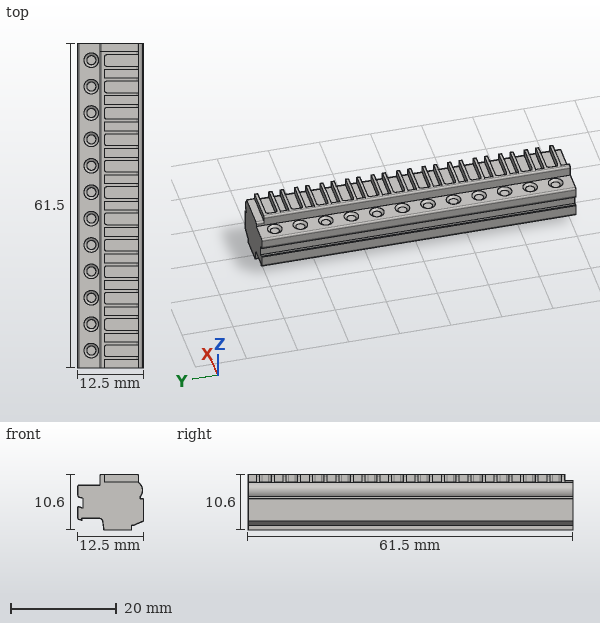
import cadquery as cq
import math

length = 61.5
width = 12.5
height = 10.6

shelf_z = 8.55
pocket_floor_z = 9.1
shelf_bottom_z = 2.2
ridge_left_x = 4.2
ridge_right_x = 11.55
edge_round = 0.35
step_right_round = 0.2

groove_depth = 1.0
groove_top_z = 6.15
groove_top_inner_z = 6.0
groove_bottom_z = 4.5
groove_bottom_inner_z = 4.2
groove_round = 0.55
lip_round = 0.4
lip_chamfer = 0.1
lip_width = 0.8
lip_bottom_z = 1.95
lip_tip_z = 1.85

foot_left_x = 4.9
foot_right_x = 10.2
foot_shoulder_z = 0.9
foot_edge_round = 0.25
foot_draft = 0.2
foot_round = 0.6
ramp_start_x = 10.65
ramp_end_z = 1.7

catch_z = 5.95
catch_x = 11.9
catch_round = 0.2
bulge_bottom_z = 6.4
bulge_side_x = 12.3
bulge_side_z = 7.55
bulge_top_z = 9.0

station_count = 12
station_span = 55.0
station_pitch = station_span / (station_count - 1)
first_station_y = 3.25

hole_x = 2.6
hole_top_diameter = 2.75
hole_bottom_diameter = 1.7
hole_depth = 0.4
hole_shift_y = 0.05

pocket_left_x = 5.05
round_pocket_length = 2.2
square_pocket_length = 1.65
pocket_corner_round = 0.5

step_length = 1.55
step_z = 9.4


def corner_midpoint(center_x, center_z, radius, angle):
    """Point on a corner arc at the given angle in degrees."""
    turn = math.radians(angle)
    return center_x + radius * math.cos(turn), center_z + radius * math.sin(turn)


def make_bar(top_z, right_round):
    """Full-length bar whose ridge reaches top_z and is rounded over at its right edge."""
    foot_top_x = foot_left_x - foot_draft
    lip_middle = corner_midpoint(lip_round, lip_bottom_z + lip_round, lip_round, 225)
    groove_middle = corner_midpoint(groove_round, groove_top_z + groove_round, groove_round, 225)
    foot_middle = corner_midpoint(
        foot_top_x - foot_round, shelf_bottom_z - foot_round, foot_round, 45
    )
    foot_edge_middle = corner_midpoint(
        foot_left_x + foot_edge_round, foot_edge_round, foot_edge_round, 225
    )
    catch_middle = corner_midpoint(width - catch_round, catch_z - catch_round, catch_round, 45)
    shelf_middle = corner_midpoint(edge_round, shelf_z - edge_round, edge_round, 135)
    ridge_right_middle = corner_midpoint(
        ridge_right_x - right_round, top_z - right_round, right_round, 45
    )
    ridge_left_middle = corner_midpoint(
        ridge_left_x + edge_round, top_z - edge_round, edge_round, 135
    )
    outline = (
        cq.Workplane("XZ")
        .moveTo(0, lip_bottom_z + lip_round)
        .threePointArc(lip_middle, (lip_round, lip_bottom_z))
        .lineTo(lip_width, lip_tip_z)
        .lineTo(lip_width, shelf_bottom_z)
        .lineTo(foot_top_x - foot_round, shelf_bottom_z)
        .threePointArc(foot_middle, (foot_top_x, shelf_bottom_z - foot_round))
        .lineTo(foot_left_x, foot_edge_round)
        .threePointArc(foot_edge_middle, (foot_left_x + foot_edge_round, 0))
        .lineTo(foot_right_x, 0)
        .lineTo(foot_right_x, foot_shoulder_z)
        .lineTo(ramp_start_x, foot_shoulder_z)
        .lineTo(width, ramp_end_z)
        .lineTo(width, catch_z - catch_round)
        .threePointArc(catch_middle, (width - catch_round, catch_z))
        .lineTo(catch_x, catch_z)
        .lineTo(catch_x, bulge_bottom_z)
        .threePointArc((bulge_side_x, bulge_side_z), (ridge_right_x, bulge_top_z))
        .lineTo(ridge_right_x, top_z - right_round)
        .threePointArc(ridge_right_middle, (ridge_right_x - right_round, top_z))
        .lineTo(ridge_left_x + edge_round, top_z)
        .threePointArc(ridge_left_middle, (ridge_left_x, top_z - edge_round))
        .lineTo(ridge_left_x, shelf_z)
        .lineTo(edge_round, shelf_z)
        .threePointArc(shelf_middle, (0, shelf_z - edge_round))
        .lineTo(0, groove_top_z + groove_round)
        .threePointArc(groove_middle, (groove_round, groove_top_z))
        .lineTo(groove_depth, groove_top_inner_z)
        .lineTo(groove_depth, groove_bottom_inner_z)
        .lineTo(lip_chamfer, groove_bottom_z)
        .lineTo(0, groove_bottom_z - lip_chamfer)
        .close()
    )
    return outline.extrude(-length)


def make_stepped_bar():
    """Bar with full-height ridge, lowered over the back step."""
    step_block = cq.Workplane("XY").box(width, step_length, height, centered=False)
    step_block = step_block.translate((0, length - step_length, 0))
    full_part = make_bar(height, edge_round).cut(step_block)
    low_part = make_bar(step_z, step_right_round).intersect(step_block)
    return full_part.union(low_part)


def make_pocket(center_y, pocket_length):
    """Block for a pocket open at the top and right of the ridge."""
    block = cq.Workplane("XY").box(
        width - pocket_left_x, pocket_length, height - pocket_floor_z, centered=(False, True, False)
    )
    return block.translate((pocket_left_x, center_y, pocket_floor_z))


def make_hole(center_y):
    """Blind conical seat sunk into the shelf."""
    return (
        cq.Workplane("XY", origin=(hole_x, center_y, shelf_z))
        .circle(hole_top_diameter / 2)
        .workplane(offset=-hole_depth)
        .circle(hole_bottom_diameter / 2)
        .loft(ruled=True)
    )


result = make_stepped_bar()
for station in range(station_count):
    station_y = first_station_y + station * station_pitch
    round_pocket = make_pocket(station_y, round_pocket_length)
    round_pocket = round_pocket.edges("|Z and <X").fillet(pocket_corner_round)
    square_pocket = make_pocket(station_y - station_pitch / 2, square_pocket_length)
    result = result.cut(round_pocket).cut(square_pocket).cut(make_hole(station_y + hole_shift_y))